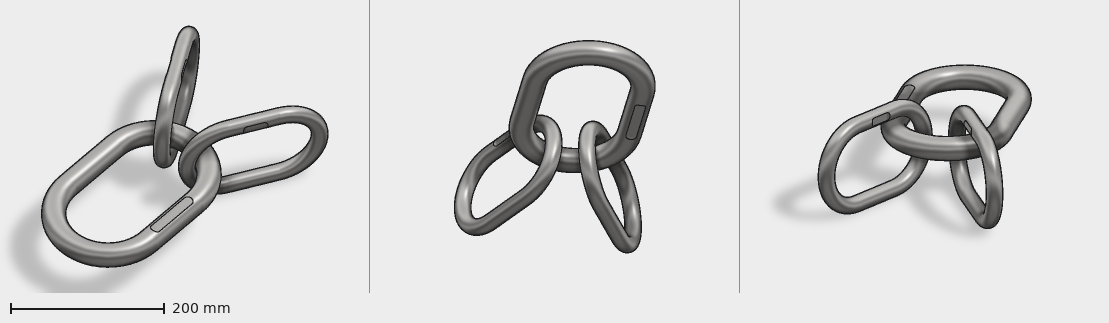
import cadquery as cq
import math

MASTER_BAR = 32.0
MASTER_INNER_WIDTH = 110.0
MASTER_STRAIGHT = 90.0
MASTER_FLAT_WIDTH = 14.2
MASTER_FLAT_LENGTH = 63.7

SUB_BAR = 22.0
SUB_INNER_WIDTH = 90.0
SUB_STRAIGHT = 70.0
SUB_FLAT_WIDTH = 11.0
SUB_FLAT_LENGTH = 23.5
SUB_SPREAD = 30

FLAT_END_RADIUS = 9.2
SEAT_GAP = 0.08


def oval_ring(bar, inner_width, straight):
    """Round bar swept round an oval in the XY plane, with the straights along Y."""
    bend_radius = (inner_width + bar) / 2
    half_straight = straight / 2
    path = (
        cq.Workplane("XY")
        .moveTo(bend_radius, -half_straight)
        .lineTo(bend_radius, half_straight)
        .threePointArc((0, half_straight + bend_radius), (-bend_radius, half_straight))
        .lineTo(-bend_radius, -half_straight)
        .threePointArc((0, -half_straight - bend_radius), (bend_radius, -half_straight))
        .close()
    )
    return (
        cq.Workplane("XZ", origin=(bend_radius, -half_straight, 0))
        .circle(bar / 2)
        .sweep(path)
    )


def flat_cutter(bar, flat_width, flat_length):
    """Cutter for a flat on top of a bar along Y, with its ends curving up to the surface."""
    bar_radius = bar / 2
    floor_height = math.sqrt(bar_radius**2 - (flat_width / 2) ** 2)
    return (
        cq.Workplane("XY")
        .box(bar, flat_length + 2 * FLAT_END_RADIUS, bar, centered=(True, True, False))
        .edges("<Z and |X")
        .fillet(FLAT_END_RADIUS)
        .translate((0, 0, floor_height))
    )


def make_link(bar, inner_width, straight, flat_width, flat_length):
    """Oval ring with a marking flat on both faces of its +X straight."""
    bend_radius = (inner_width + bar) / 2
    upper_flat = flat_cutter(bar, flat_width, flat_length).translate((bend_radius, 0, 0))
    lower_flat = upper_flat.mirror("XY")
    ring = oval_ring(bar, inner_width, straight)
    return ring.cut(upper_flat).cut(lower_flat).solids()


def make_master_link():
    return make_link(
        MASTER_BAR, MASTER_INNER_WIDTH, MASTER_STRAIGHT, MASTER_FLAT_WIDTH, MASTER_FLAT_LENGTH
    )


def make_sub_link(side):
    """Small link stood upright, resting in the master bend; side is -1 for -X, +1 for +X."""
    seat_distance = (MASTER_INNER_WIDTH - SUB_BAR) / 2 - SEAT_GAP
    half_length = (SUB_STRAIGHT + SUB_INNER_WIDTH + SUB_BAR) / 2
    centre_distance = seat_distance + half_length
    return (
        make_link(SUB_BAR, SUB_INNER_WIDTH, SUB_STRAIGHT, SUB_FLAT_WIDTH, SUB_FLAT_LENGTH)
        .rotate((0, 0, 0), (0, 1, 0), -90)
        .translate((0, centre_distance, 0))
        .rotate((0, 0, 0), (0, 0, 1), -side * SUB_SPREAD)
        .translate((0, MASTER_STRAIGHT / 2, 0))
    )


master_link = make_master_link()
sub_links = [make_sub_link(side) for side in (-1, 1)]

result = cq.Compound.makeCompound([master_link.val(), *[link.val() for link in sub_links]])